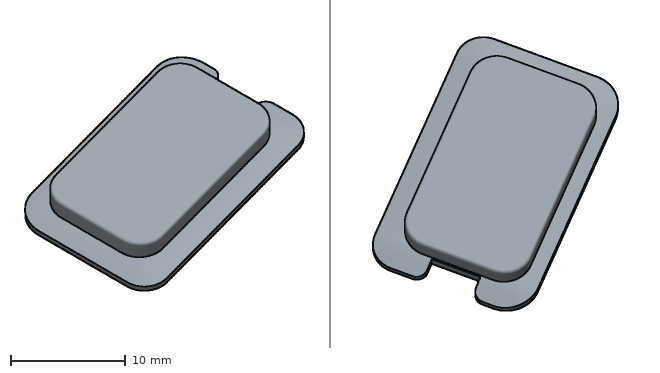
import cadquery as cq
import math

body_width = 11.7
body_length = 19.73
body_corner_radius = 2.52
body_top_fillet = 0.3
total_height = 2.8

flange_overhang = 2.14
narrow_overhang = 1.37
flange_corner_radius = 2.5
narrow_corner_radius = 3.0
crown_height = 1.0
slope_angle = 11
crown_corner_radius = 0.38
blend_width = 1.45
blend_radius = blend_width / math.sin(math.radians(slope_angle))

notch_width = 4.58
notch_depth = 2.0
notch_center_x = 0.12
notch_mouth_radius = 1.0

flange_left = -body_width / 2 - narrow_overhang
flange_right = body_width / 2 + flange_overhang
flange_width = flange_right - flange_left
flange_length = body_length + 2 * flange_overhang


def make_flange_outline():
    """Vertical-walled blank carrying the flange outline and the notch."""
    blank = (
        cq.Workplane("XY")
        .center((flange_left + flange_right) / 2, 0)
        .rect(flange_width, flange_length)
        .extrude(crown_height)
    )
    blank = blank.edges("|Z and <X").fillet(narrow_corner_radius)
    blank = blank.edges("|Z and >X").fillet(flange_corner_radius)
    notch = (
        cq.Workplane("XY")
        .center(notch_center_x, flange_length / 2)
        .rect(notch_width, 2 * notch_depth)
        .extrude(crown_height)
    )
    mouth_edges = cq.selectors.BoxSelector(
        (notch_center_x - notch_width, flange_length / 2 - notch_depth / 2, 0),
        (notch_center_x + notch_width, flange_length / 2 + notch_depth / 2, crown_height),
    )
    return blank.cut(notch).edges("|Z").edges(mouth_edges).fillet(notch_mouth_radius)


def make_sloping_crown():
    """Broad frustum whose flat top blends smoothly into its shallow slopes."""
    crown_outline = cq.Sketch().rect(body_width, body_length).vertices().fillet(crown_corner_radius)
    frustum = (
        cq.Workplane("XY", origin=(0, 0, crown_height))
        .placeSketch(crown_outline)
        .extrude(-crown_height, taper=-(90 - slope_angle))
    )
    return frustum.faces(">Z").edges().fillet(blend_radius)


def make_body():
    """Rounded block with a softened top edge."""
    block = cq.Workplane("XY").rect(body_width, body_length).extrude(total_height)
    return block.edges("|Z").fillet(body_corner_radius).faces(">Z").edges().fillet(body_top_fillet)


flange = make_flange_outline().intersect(make_sloping_crown())
result = flange.union(make_body())